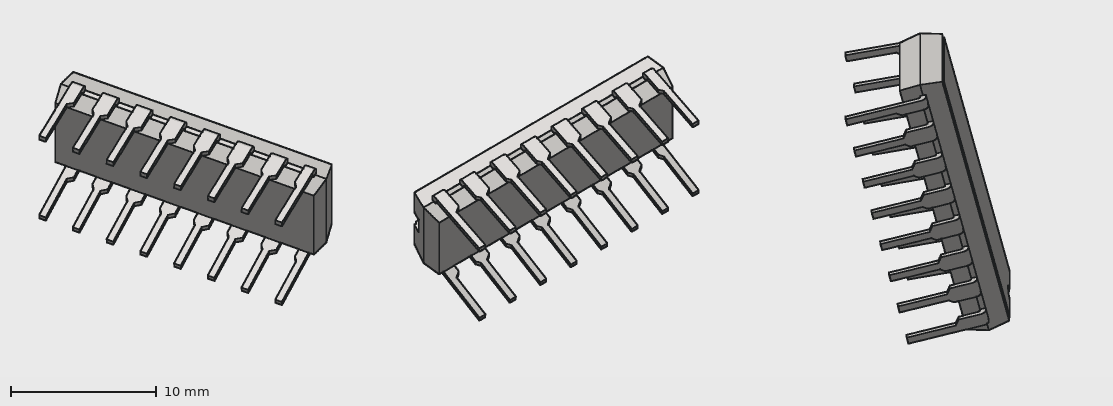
import math

import cadquery as cq

body_length = 20.0
body_height = 7.08
half_depth = 1.5
draft_inset = 0.25
pad_step = 0.1
pad_inset = 0.18

notch_radius = 0.78
notch_depth = 0.8

lead_count = 8
lead_pitch = 2.55
lead_thickness = 0.4
lead_embed = 0.2
splay_angle = math.radians(4)
inner_bend_radius = 0.2
outer_bend_radius = 0.38
tip_half_height = 4.6
part_depth = 7.1

pin_width = 0.5
shoulder_left_step = 0.25
shoulder_right_step = 0.4
shoulder_straight_end = 3.3
shoulder_taper_end = 3.6

back_y = half_depth
pad_y = half_depth + pad_step
front_y = -half_depth
tip_y = pad_y - part_depth
apex_z = body_height / 2
pin_half = pin_width / 2
row_half = lead_pitch * (lead_count - 1) / 2


def slab(start_y, end_y, start_inset, end_inset):
    """Rectangular block along Y whose outline is inset differently at each end."""
    def outline(y, inset):
        length = body_length - 2 * inset
        height = body_height - 2 * inset
        return cq.Workplane("XZ", origin=(0, y, 0)).rect(length, height).wires().val()

    wires = [outline(start_y, start_inset), outline(end_y, end_inset)]
    return cq.Workplane(cq.Solid.makeLoft(wires, True))


def make_body():
    back_half = slab(0, back_y, 0, draft_inset)
    front_half = slab(0, front_y, 0, draft_inset)
    pad = slab(back_y, pad_y, draft_inset + pad_inset, draft_inset + pad_inset)
    land = cq.Workplane("XY").box(2 * row_half, lead_thickness, body_height)
    notch = (
        cq.Workplane("XZ", origin=(draft_inset - body_length / 2, pad_y, 0))
        .circle(notch_radius)
        .extrude(notch_depth)
    )
    return back_half.union(front_half).union(pad).union(land).cut(notch)


def make_lead_strip():
    """Bent strip for the +Z row, spanning the whole body length in X."""
    run_slope = math.tan(splay_angle)
    outer_rise = lead_thickness * math.cos(splay_angle)
    outer_drift = lead_thickness * math.sin(splay_angle)
    outer_tip = (tip_y + outer_drift, tip_half_height)
    inner_tip = (tip_y, tip_half_height - outer_rise)
    outer_face_y = lead_thickness / 2
    inner_face_y = -lead_thickness / 2
    outer_corner_z = outer_tip[1] - (outer_face_y - outer_tip[0]) * run_slope
    inner_corner_z = inner_tip[1] - (inner_face_y - inner_tip[0]) * run_slope
    root_z = apex_z - lead_embed
    strip = (
        cq.Workplane("YZ", origin=(-body_length / 2, 0, 0))
        .moveTo(outer_face_y, root_z)
        .lineTo(outer_face_y, outer_corner_z)
        .lineTo(*outer_tip)
        .lineTo(*inner_tip)
        .lineTo(inner_face_y, inner_corner_z)
        .lineTo(inner_face_y, root_z)
        .close()
        .extrude(body_length)
    )
    outer_bend = cq.selectors.NearestToPointSelector((0, outer_face_y, outer_corner_z))
    inner_bend = cq.selectors.NearestToPointSelector((0, inner_face_y, inner_corner_z))
    strip = strip.edges(outer_bend).fillet(outer_bend_radius)
    return strip.edges(inner_bend).fillet(inner_bend_radius)


def make_lead_outline(center_x, left_step, right_step):
    """Prism along Z with the lead's shoulder and pin shape."""
    left = center_x - pin_half
    right = center_x + pin_half
    straight_y = pad_y - shoulder_straight_end
    taper_y = pad_y - shoulder_taper_end
    points = [
        (left - left_step, pad_y),
        (left - left_step, straight_y),
        (left, taper_y),
        (left, tip_y),
        (right, tip_y),
        (right, taper_y),
        (right + right_step, straight_y),
        (right + right_step, pad_y),
    ]
    return cq.Workplane("XY").polyline(points).close().extrude(tip_half_height)


result = make_body()
lead_strip = make_lead_strip()
for index in range(lead_count):
    left_step = 0 if index == 0 else shoulder_left_step
    right_step = 0 if index == lead_count - 1 else shoulder_right_step
    center_x = index * lead_pitch - row_half
    upper_lead = lead_strip.intersect(make_lead_outline(center_x, left_step, right_step))
    result = result.union(upper_lead).union(upper_lead.mirror("XY"))